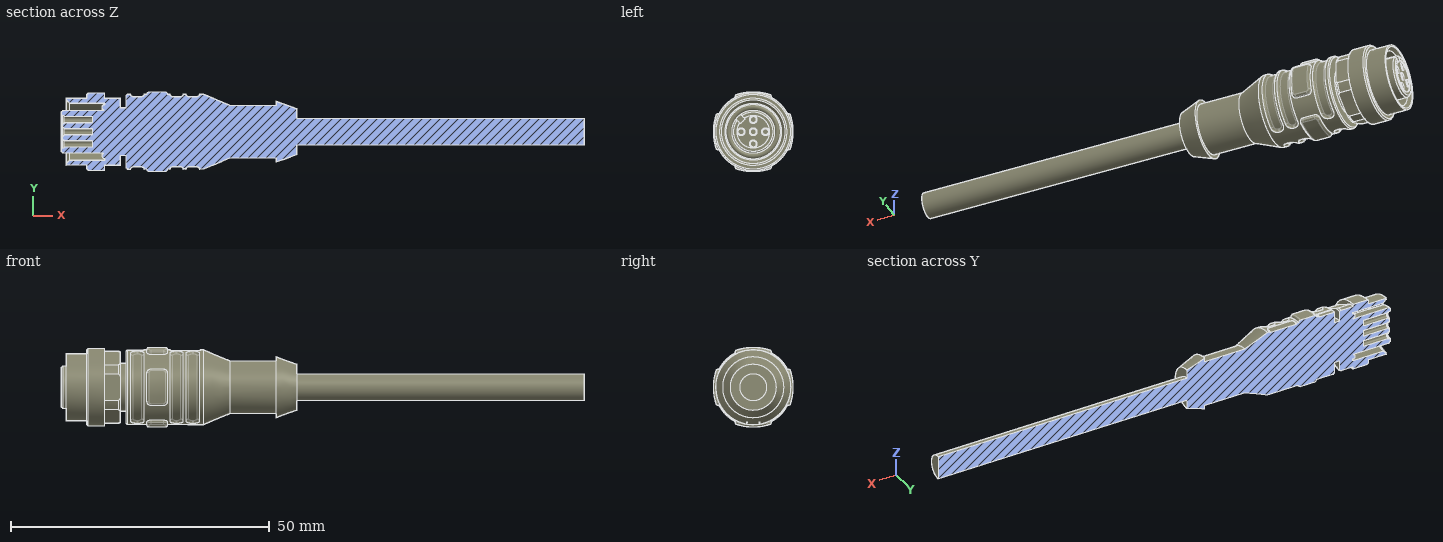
import cadquery as cq
import math


HEX_SIDES = 6
PAD_COUNT = 4
OUTER_CONTACTS = 4

nut_front = 0.95
collar_front = 4.9
hex_start = 8.4
hex_end = 11.4
body_start = 12.5
body_end = 27.5
cone_end = 32.6
flare_start = 41.5
flare_end = 45.5
cable_end = 101.0

nut_diameter = 13.0
collar_diameter = 15.0
collar_chamfer = 0.3
hex_across_flats = 13.0
hex_corner_diameter = 14.0
hex_chamfer_length = 0.35
hex_chamfer_height = 0.15
bore_diameter = 10.95
bore_mouth_diameter = 12.3
bore_end = 8.4

insert_diameter = 8.3
insert_edge_chamfer = 0.35
seal_section = 1.1
seal_mean_diameter = 9.4
face_recess_diameter = 6.3
face_recess_depth = 0.2
contact_circle_diameter = 4.7
contact_entry_diameter = 1.5
contact_bore_diameter = 1.15
contact_entry_depth = 0.5
contact_depth = 6.0
keyway_depth = 6.0
keyway_width = 1.3
keyway_floor_radius = 2.85
keyway_angle = 45.0

neck_diameter = 9.3
body_diameter = 14.5
body_edge_chamfer = 0.25
tail_diameter = 10.2
flare_diameter = 11.8
flare_end_diameter = 8.9
cable_diameter = 5.2

window_depth = 0.45
window_floor_radius = 0.5
window_bridge = 3.9
window_corner_radius = 1.2
window_spans = [(13.4, 16.0), (21.0, 23.55), (24.1, 26.7)]

pad_start = 16.5
pad_length = 4.05
pad_width = 7.0
pad_height = 7.73
pad_crown_radius = 10.0
pad_corner_radius = 0.8
pad_edge_fillet = 0.45
pad_root = 5.5

plate_start = 21.0
plate_length = 5.9
plate_width = 2.85
plate_level = 7.05
plate_corner_radius = 0.6
mark_end = 16.0
mark_width = 1.65
mark_level = 7.05
recess_headroom = 1.0


def rod(start, end, diameter):
    """Cylinder on the connector axis between two stations."""
    return cq.Workplane("YZ").workplane(offset=start).circle(diameter / 2).extrude(end - start)


def turned(points):
    """Solid of revolution about X from (x, radius) points."""
    return cq.Workplane("XY").polyline(points).close().revolve(360, (0, 0, 0), (1, 0, 0))


def make_nut():
    """Coupling nut with a collar, a rounded hexagon and an open front bore."""
    nut_radius = nut_diameter / 2
    collar_radius = collar_diameter / 2
    shell = turned([
        (nut_front, 0),
        (nut_front, nut_radius),
        (collar_front, nut_radius),
        (collar_front, collar_radius - collar_chamfer),
        (collar_front + collar_chamfer, collar_radius),
        (hex_start, collar_radius),
        (hex_start, 0),
    ])
    corner_radius = hex_corner_diameter / 2
    hexagon = (
        cq.Workplane("YZ")
        .workplane(offset=hex_start)
        .transformed(rotate=(0, 0, 180 / HEX_SIDES))
        .polygon(HEX_SIDES, hex_across_flats / math.cos(math.pi / HEX_SIDES))
        .extrude(hex_end - hex_start)
    )
    rounded = turned([
        (hex_start, 0),
        (hex_start, corner_radius),
        (hex_end - hex_chamfer_length, corner_radius),
        (hex_end, corner_radius - hex_chamfer_height),
        (hex_end, 0),
    ])
    mouth_radius = bore_mouth_diameter / 2
    bore_radius = bore_diameter / 2
    bore = turned([
        (nut_front, 0),
        (nut_front, mouth_radius),
        (nut_front + mouth_radius - bore_radius, bore_radius),
        (bore_end, bore_radius),
        (bore_end, 0),
    ])
    return shell.union(hexagon.intersect(rounded)).cut(bore)


def make_insert():
    """Contact carrier with a round seal half sunk in the floor of the nut bore."""
    insert = rod(0, hex_end, insert_diameter).faces("<X").chamfer(insert_edge_chamfer)
    insert = insert.cut(rod(0, face_recess_depth, face_recess_diameter))
    seal = (
        cq.Workplane("XY")
        .center(bore_end, seal_mean_diameter / 2)
        .circle(seal_section / 2)
        .revolve(360, (0, -seal_mean_diameter / 2, 0), (1, -seal_mean_diameter / 2, 0))
    )
    return insert.union(seal)


def cut_contacts(part):
    """Drill the centre contact and the ring of contacts round it."""
    centres = [(0, 0)]
    radius = contact_circle_diameter / 2
    for index in range(OUTER_CONTACTS):
        angle = index * 2 * math.pi / OUTER_CONTACTS
        centres.append((radius * math.cos(angle), radius * math.sin(angle)))
    face = cq.Workplane("YZ").pushPoints(centres)
    part = part.cut(face.circle(contact_bore_diameter / 2).extrude(contact_depth))
    return part.cut(face.circle(contact_entry_diameter / 2).extrude(contact_entry_depth))


def make_keyway():
    """Axial groove cutter for the rim of the insert, towards +Y and +Z."""
    reach = insert_diameter / 2 - keyway_floor_radius
    return (
        cq.Workplane("XY")
        .box(keyway_depth, reach, keyway_width, centered=(False, False, True))
        .translate((0, keyway_floor_radius, 0))
        .rotate((0, 0, 0), (1, 0, 0), keyway_angle)
    )


def make_body():
    """Neck, grip body, tapered tail, strain-relief flare and cable as one turned solid."""
    body_radius = body_diameter / 2
    tail_radius = tail_diameter / 2
    cable_radius = cable_diameter / 2
    return turned([
        (hex_end, 0),
        (hex_end, neck_diameter / 2),
        (body_start, neck_diameter / 2),
        (body_start, body_radius - body_edge_chamfer),
        (body_start + body_edge_chamfer, body_radius),
        (body_end, body_radius),
        (cone_end, tail_radius),
        (flare_start, tail_radius),
        (flare_start, flare_diameter / 2),
        (flare_end, flare_end_diameter / 2),
        (flare_end, cable_radius),
        (cable_end, cable_radius),
        (cable_end, 0),
    ])


def make_window(start, end):
    """Recess on the +Y side, with its floor rounded into its walls."""
    outer = body_diameter / 2
    floor = outer - window_depth
    cutter_size = 2 * body_diameter
    ring = rod(start, end, cutter_size).cut(rod(start, end, 2 * floor))
    side = (
        cq.Workplane("XY")
        .box(end - start, cutter_size, cutter_size, centered=(False, False, True))
        .edges("|Z and <Y")
        .fillet(window_corner_radius)
        .translate((start, window_bridge / 2, 0))
    )
    middle = ((start + end) / 2, 0, 0)
    window = ring.intersect(side)
    return window.faces(cq.NearestToPointSelector(middle)).edges().fillet(window_floor_radius)


def make_pad():
    """Crowned pad on the +Z side."""
    block = (
        cq.Workplane("XY")
        .workplane(offset=pad_root)
        .center(pad_start + pad_length / 2, 0)
        .rect(pad_length, pad_width)
        .extrude(pad_crown_radius)
        .edges("|Z")
        .fillet(pad_corner_radius)
    )
    crown = (
        rod(pad_start, pad_start + pad_length, 2 * pad_crown_radius)
        .translate((0, 0, pad_height - pad_crown_radius))
    )
    return block.intersect(crown).faces(">Z").edges().fillet(pad_edge_fillet)


def make_plate_recess():
    """Flat-floored, round-cornered recess in the top of the body."""
    return (
        cq.Workplane("XY")
        .workplane(offset=plate_level)
        .center(plate_start + plate_length / 2, 0)
        .rect(plate_length, plate_width)
        .extrude(recess_headroom)
        .edges("|Z")
        .fillet(plate_corner_radius)
    )


def make_mark_recess():
    """Alignment mark in the top of the body, open at the front."""
    length = mark_end - body_start
    return (
        cq.Workplane("XY")
        .box(length, mark_width, recess_headroom, centered=(False, True, False))
        .translate((body_start, 0, mark_level))
    )


body = make_body()
for start, end in window_spans:
    window = make_window(start, end)
    body = body.cut(window).cut(window.mirror("XZ"))
pad = make_pad()
for index in range(PAD_COUNT):
    body = body.union(pad.rotate((0, 0, 0), (1, 0, 0), index * 360 / PAD_COUNT))
body = body.cut(make_plate_recess()).cut(make_mark_recess())

insert = cut_contacts(make_insert()).cut(make_keyway())
result = make_nut().union(insert).union(body)